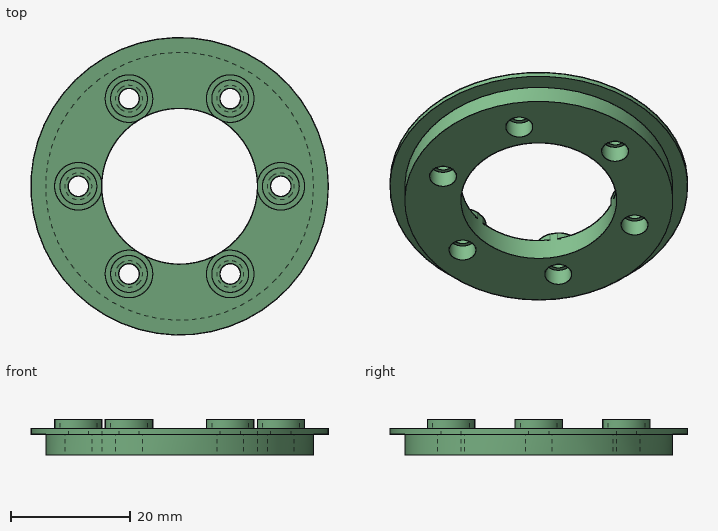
import cadquery as cq

flange_diameter = 50
flange_thickness = 1
hub_diameter = 45
hub_height = 3.5
bore_diameter = 26.15

boss_count = 6
boss_diameter = 8
boss_height = 1.5
boss_circle_radius = 17
screw_hole_diameter = 3.4
lower_hole_diameter = 4.5
counterbore_diameter = 6.2
counterbore_depth = boss_height

flange_top = hub_height + flange_thickness
boss_top = flange_top + boss_height


def make_flanged_disc():
    hub = cq.Workplane("XY").circle(hub_diameter / 2).extrude(hub_height)
    flange = (
        cq.Workplane("XY", origin=(0, 0, hub_height))
        .circle(flange_diameter / 2)
        .extrude(flange_thickness)
    )
    return hub.union(flange)


def discs_at_bosses(diameter, bottom, top):
    """Return one upright cylinder at every boss position."""
    return (
        cq.Workplane("XY", origin=(0, 0, bottom))
        .polarArray(boss_circle_radius, 0, 360, boss_count)
        .circle(diameter / 2)
        .extrude(top - bottom)
    )


bosses = discs_at_bosses(boss_diameter, flange_top, boss_top)
screw_holes = discs_at_bosses(screw_hole_diameter, 0, boss_top)
lower_holes = discs_at_bosses(lower_hole_diameter, 0, hub_height)
counterbores = discs_at_bosses(counterbore_diameter, boss_top - counterbore_depth, boss_top)

bore = cq.Workplane("XY").circle(bore_diameter / 2).extrude(boss_top)

result = make_flanged_disc().union(bosses).cut(bore)
result = result.cut(screw_holes).cut(lower_holes).cut(counterbores)